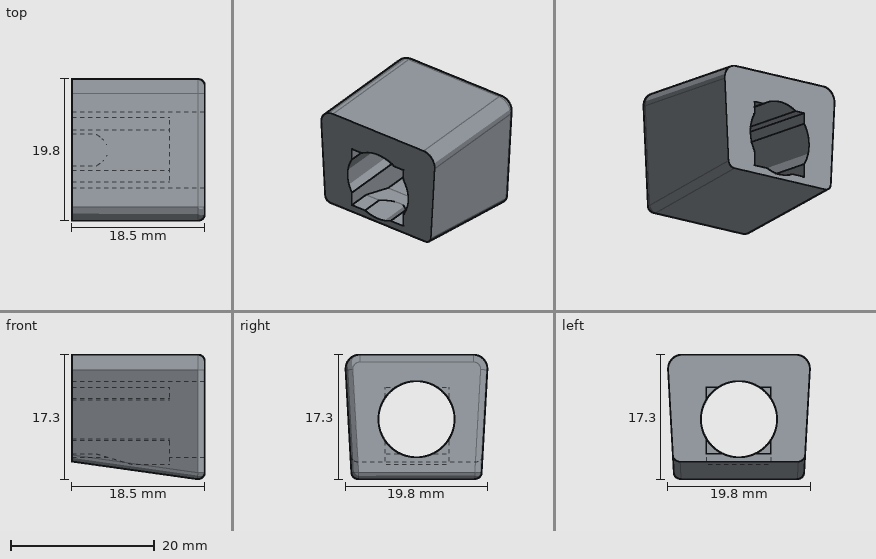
import cadquery as cq
import math

length = 18.5
closed_end_height = 17.5
underside_slope = math.radians(8)
open_end_height = closed_end_height - length * math.tan(underside_slope)
top_width = 20.0
bottom_width = 18.04

top_edge_radius = 2.0
bottom_edge_radius = 1.0
end_edge_radius = 1.0

bore_diameter = 10.57
bore_z = -9.0

pocket_width = 8.92
pocket_center_y = 0.06
pocket_roof_z = -4.54
pocket_height = 9.25
pocket_depth = 13.5

ramp_start_x = 3.3
ramp_length = 5.1
ramp_drop = 1.5


def make_block():
    """Block with tapered sides and a sloping underside, rounded on all but the open face."""
    half_top = top_width / 2
    half_bottom = bottom_width / 2
    cross_section = [
        (-half_top, 0),
        (half_top, 0),
        (half_bottom, -closed_end_height),
        (-half_bottom, -closed_end_height),
    ]
    side_profile = [
        (0, 0),
        (length, 0),
        (length, -closed_end_height),
        (0, -open_end_height),
    ]
    tapered = cq.Workplane("YZ").polyline(cross_section).close().extrude(length)
    wedge = cq.Workplane("XZ").polyline(side_profile).close().extrude(half_top, both=True)
    block = tapered.intersect(wedge)

    block = block.faces(">Z").edges("|X").fillet(top_edge_radius)
    block = block.faces("<Z").edges("not |Y").fillet(bottom_edge_radius)
    return block.faces(">X").edges().fillet(end_edge_radius)


def make_bore():
    """Cylinder running the full length of the block."""
    return cq.Workplane("YZ").center(0, bore_z).circle(bore_diameter / 2).extrude(length)


def make_pocket():
    """Pocket with a flat roof and a floor that ramps down to a lower level."""
    entry_floor_z = pocket_roof_z - pocket_height
    lower_floor_z = entry_floor_z - ramp_drop
    pocket_profile = [
        (0, pocket_roof_z),
        (pocket_depth, pocket_roof_z),
        (pocket_depth, lower_floor_z),
        (ramp_start_x + ramp_length, lower_floor_z),
        (ramp_start_x, entry_floor_z),
        (0, entry_floor_z),
    ]
    pocket = cq.Workplane("XZ").polyline(pocket_profile).close().extrude(pocket_width / 2, both=True)
    return pocket.translate((0, pocket_center_y, 0))


result = make_block().cut(make_bore()).cut(make_pocket())